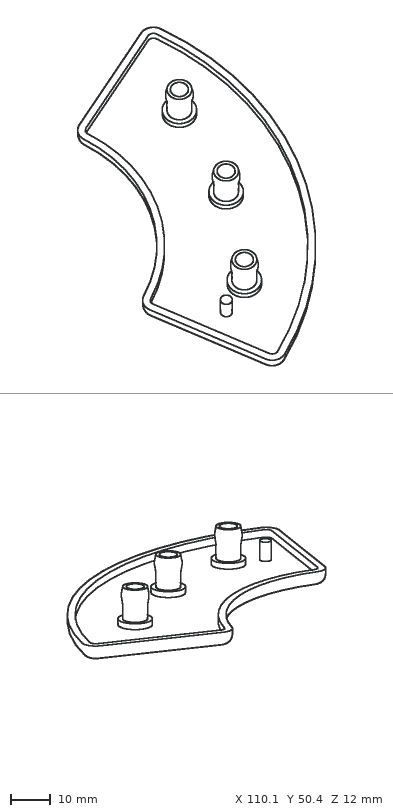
import cadquery as cq
import math

overall_length = 110.1
half_angle = math.radians(45)
corner_radius = 3.5
side_reach = (overall_length / 2 - corner_radius + corner_radius * math.cos(half_angle)) / math.sin(half_angle)
outer_radius = corner_radius + math.hypot(side_reach, corner_radius)
inner_radius = outer_radius / 2
tray_height = 4.0
bottom_fillet = 2.4
rim_width = 2.0
floor_thickness = 2.0

total_height = 12.0
post_side_x = 28.2
post_side_y = 56.3
post_centre_y = 60.0
post_places = [(-post_side_x, post_side_y), (0, post_centre_y), (post_side_x, post_side_y)]
flange_radius = 8.7 / 2
flange_height = 1.5
flange_top = floor_thickness + flange_height
post_foot = floor_thickness / 2
stem_radius = 6.3 / 2
barb_radius = 6.9 / 2
barb_start = 7.3
barb_full_start = 9.3
barb_full_end = 10.2
bore_radius = 4.5 / 2
bore_bottom_fillet = 2.0

pin_place = (35.5, 49.3)
pin_radius = 3.0 / 2
pin_top = 7.0


def polar(radius, angle):
    """Point at a radius, with the angle measured from +Y towards +X."""
    return (radius * math.sin(angle), radius * math.cos(angle))


def sector(inset, height):
    """Round-cornered ring sector, with every edge moved inwards by inset."""
    outer = outer_radius - inset
    inner = inner_radius + inset
    outer_angle = half_angle - math.asin(inset / outer)
    inner_angle = half_angle - math.asin(inset / inner)
    return (
        cq.Workplane("XY")
        .moveTo(*polar(outer, -outer_angle))
        .threePointArc((0, outer), polar(outer, outer_angle))
        .lineTo(*polar(inner, inner_angle))
        .threePointArc((0, inner), polar(inner, -inner_angle))
        .close()
        .extrude(height)
        .edges("|Z")
        .fillet(corner_radius - inset)
    )


def make_tray():
    body = sector(0, tray_height).faces("<Z").edges().fillet(bottom_fillet)
    pocket = sector(rim_width, tray_height).translate((0, 0, floor_thickness))
    return body.cut(pocket)


def make_post():
    """Flanged post with a barb, and a blind bore with a rounded bottom at floor level."""
    flat_radius = bore_radius - bore_bottom_fillet
    arc_centre_z = floor_thickness + bore_bottom_fillet
    arc_offset = bore_bottom_fillet * math.sin(math.radians(45))
    profile = [
        (0, post_foot),
        (flange_radius, post_foot),
        (flange_radius, flange_top),
        (stem_radius, flange_top),
        (stem_radius, barb_start),
        (barb_radius, barb_full_start),
        (barb_radius, barb_full_end),
        (stem_radius, total_height),
        (bore_radius, total_height),
        (bore_radius, arc_centre_z),
    ]
    return (
        cq.Workplane("XZ")
        .polyline(profile)
        .threePointArc((flat_radius + arc_offset, arc_centre_z - arc_offset), (flat_radius, floor_thickness))
        .lineTo(0, floor_thickness)
        .close()
        .revolve(360, (0, 0, 0), (0, 1, 0))
    )


def make_pin():
    """Plain pin, starting at the underside of the floor so that it fuses with it."""
    return cq.Workplane("XY").center(*pin_place).circle(pin_radius).extrude(pin_top)


result = make_tray()
for x, y in post_places:
    result = result.union(make_post().translate((x, y, 0)))
result = result.union(make_pin())